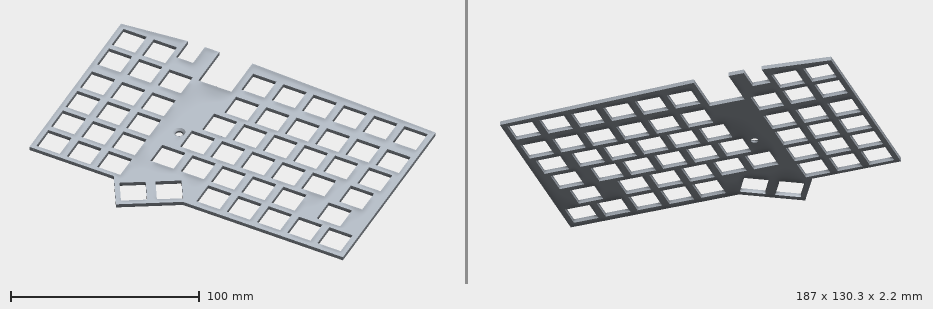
import cadquery as cq
import math

plate_width = 187.0
plate_depth = 130.3
stack_thickness = 2.2
lower_thickness = stack_thickness / 2
upper_thickness = stack_thickness - lower_thickness

side_top = 126.5
left_bottom = 19.0
right_bottom = 17.8
thumb_tip_x = 61.1
thumb_angle = 30.0

small_slot_left = 37.8
small_slot_right = 47.9
large_slot_left = 56.5
large_slot_right = 76.1
large_slot_floor = 105.7

key_size = 13.8
column_pitch = 90.0 / 5
row_pitch = 17.0
row_break = 20.0
left_first_column = 10.0
right_last_column = plate_width - 10.1
right_first_column = right_last_column - 5 * column_pitch

row_a = 28.5
row_b = row_a + row_pitch
row_c = row_b + row_pitch
row_d = row_c + row_pitch
left_row_e = row_d + row_break
right_row_e = row_d + row_pitch
row_f = left_row_e + row_pitch
small_slot_floor = row_f

thumb_key_inset = 9.7
thumb_key_pitch = 19.0

screw_x = 65.6
screw_y = 65.3
screw_diameter = 4.1
screw_head_diameter = 6.5


def key_row(first_x, y, count):
    return [(first_x + i * column_pitch, y) for i in range(count)]


def left_key_centers():
    centers = key_row(left_first_column, row_f, 2)
    for y in (row_a, row_b, row_c, row_d, left_row_e):
        centers += key_row(left_first_column, y, 3)
    return centers


def right_key_centers():
    centers = key_row(right_first_column, row_f, 6)
    centers += key_row(right_first_column, right_row_e, 6)
    centers += key_row(right_first_column + column_pitch, row_a, 5)
    for y, row_shift, end_shift in (
        (row_d, column_pitch / 4, column_pitch / 8),
        (row_c, column_pitch / 2, column_pitch / 4),
        (row_b, column_pitch, column_pitch / 2),
    ):
        centers += key_row(right_first_column - row_shift, y, 5)
        centers.append((right_last_column - end_shift, y))
    return centers


def outline_points():
    thumb_slope = math.tan(math.radians(thumb_angle))
    return [
        (0, left_bottom),
        (0, side_top),
        (small_slot_left, plate_depth),
        (small_slot_left, small_slot_floor),
        (small_slot_right, small_slot_floor),
        (small_slot_right, plate_depth),
        (large_slot_left, plate_depth),
        (large_slot_left, large_slot_floor),
        (large_slot_right, large_slot_floor),
        (large_slot_right, plate_depth),
        (plate_width, side_top),
        (plate_width, right_bottom),
        (thumb_tip_x + right_bottom / thumb_slope, right_bottom),
        (thumb_tip_x, 0),
        (thumb_tip_x - left_bottom * thumb_slope, left_bottom),
    ]


def key_cutters(thickness):
    centers = left_key_centers() + right_key_centers()
    return cq.Workplane("XY").pushPoints(centers).rect(key_size, key_size).extrude(thickness)


def thumb_key_cutters(thickness):
    centers = [(thumb_key_inset + i * thumb_key_pitch, thumb_key_inset) for i in range(2)]
    cutters = cq.Workplane("XY").pushPoints(centers).rect(key_size, key_size).extrude(thickness)
    return cutters.rotate((0, 0, 0), (0, 0, 1), thumb_angle).translate((thumb_tip_x, 0, 0))


def keyed_plate(thickness):
    """Plate resting on Z = 0 with the outline and all key openings."""
    plate = cq.Workplane("XY").polyline(outline_points()).close().extrude(thickness)
    return plate.cut(key_cutters(thickness)).cut(thumb_key_cutters(thickness))


def make_lower_plate():
    screw_hole = cq.Workplane("XY").center(screw_x, screw_y).circle(screw_diameter / 2)
    return keyed_plate(lower_thickness).cut(screw_hole.extrude(lower_thickness))


def make_upper_plate():
    """Plate whose screw hole widens upwards through its full thickness to seat a countersunk head."""
    countersink = cq.Solid.makeCone(
        screw_diameter / 2, screw_head_diameter / 2, upper_thickness, cq.Vector(screw_x, screw_y, 0)
    )
    plate = keyed_plate(upper_thickness).cut(cq.Workplane(countersink))
    return plate.translate((0, 0, lower_thickness))


lower_plate = make_lower_plate()
upper_plate = make_upper_plate()
result = cq.Compound.makeCompound([lower_plate.val(), upper_plate.val()])